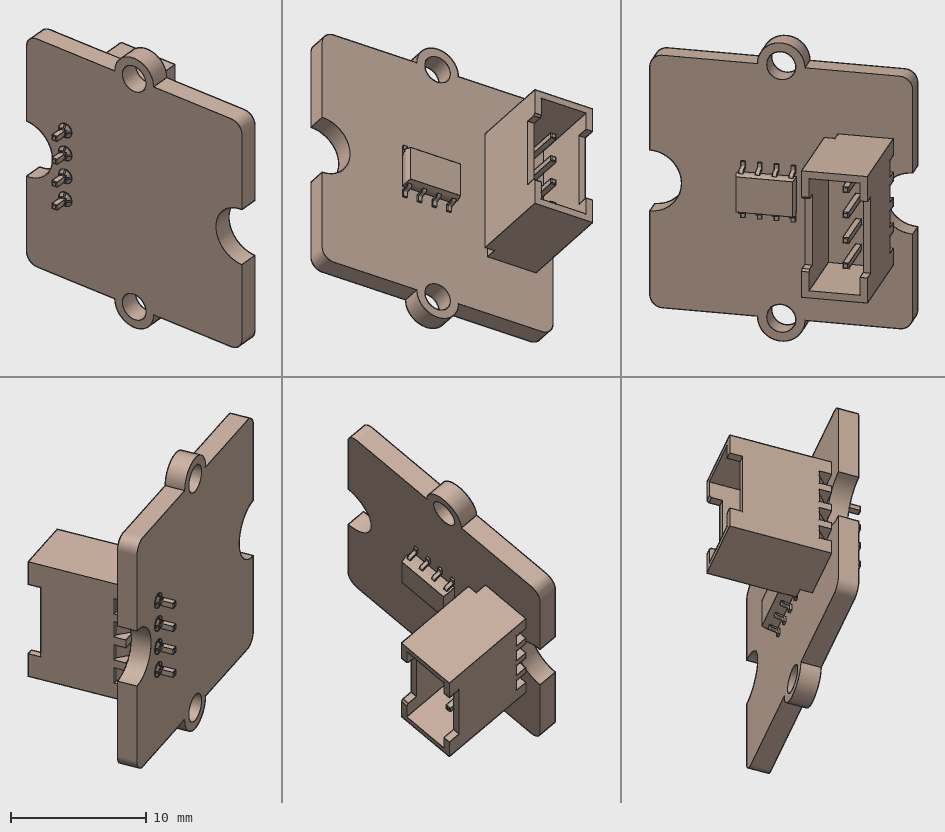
import cadquery as cq
import math


BOARD_SIDE = 20.0
BOARD_THICKNESS = 1.6
BOARD_CORNER_RADIUS = 1.0
OVERALL_HEIGHT = 23.6
TAB_RADIUS = (OVERALL_HEIGHT - BOARD_SIDE) / 2
TAB_HOLE_DIAMETER = 2.2
EDGE_NOTCH_RADIUS = 2.4

HOUSING_WIDTH = 5.0
HOUSING_HEIGHT = 10.0
HOUSING_DEPTH = 8.0
HOUSING_LEFT = -8.52
HOUSING_RIGHT = HOUSING_LEFT + HOUSING_WIDTH
HOUSING_WALL = 0.57
CAVITY_DEPTH = 6.0
KEYWAY_DEPTH = 1.01
OUTER_KEYWAY_WIDTH = 6.05
INNER_KEYWAY_WIDTH = 5.57
INNER_KEYWAY_CHAMFER = 0.17
UNDERCUT_HEIGHT = 0.97
UNDERCUT_LENGTH = 0.8
SLOT_WIDTH = 1.32
SLOT_CEILING_LENGTH = 0.3
SLOT_SLOPE_LENGTH = 0.8
SLIT_HEIGHT = 0.17

PIN_COUNT = 4
PIN_PITCH = 2.0
PIN_X = -6.37
PIN_WIDTH = 0.45
PIN_TAIL = 1.4
PIN_TIP_INSET = 0.07
PIN_TIP_HEIGHT = 0.07
PIN_REACH_IN_CAVITY = 4.01
PIN_SHOULDER_WIDTH = 0.92
PIN_SHOULDER_HEIGHT = 0.1
SOLDER_DIAMETER = 1.2
SOLDER_NECK_DIAMETER = 0.4
SOLDER_RIM = 0.05
SOLDER_HEIGHT = 0.45
SOLDER_RIB_WIDTH = 0.15

CHIP_X = 0.97
CHIP_LENGTH = 4.5
CHIP_WIDTH = 2.97
CHIP_STANDOFF = 0.1
CHIP_BAND_BOTTOM = 0.61
CHIP_BAND_TOP = 0.83
CHIP_TOP = 1.27
CHIP_DRAFT = 12.0
LEADS_PER_SIDE = 4
LEAD_PITCH = 1.27
LEAD_WIDTH = 0.33
LEAD_THICKNESS = 0.17
LEAD_SHOULDER = 1.7
LEAD_HEEL = 1.8
LEAD_TOE = 2.22
LEAD_BEND_RADIUS = 0.28
LEAD_HEEL_RADIUS = 0.1


def block(x_range, y_range, z_range):
    """Axis-aligned box between the given limits."""
    lows, highs = zip(x_range, y_range, z_range)
    sizes = [high - low for low, high in zip(lows, highs)]
    return cq.Workplane("XY").box(*sizes, centered=False).translate(lows)


def along_y(y):
    """Workplane at the given Y whose extrusions go towards +Y; its local x axis is Z and local y is X."""
    return cq.Workplane("ZX", origin=(0, y, 0))


def centred_positions(count, pitch):
    return [(index - (count - 1) / 2) * pitch for index in range(count)]


def make_board():
    half_side = BOARD_SIDE / 2
    tab_centres = [(-half_side, 0), (half_side, 0)]
    notch_centres = [(0, -half_side), (0, half_side)]
    back = -BOARD_THICKNESS
    board = along_y(back).rect(BOARD_SIDE, BOARD_SIDE).extrude(BOARD_THICKNESS)
    board = board.edges("|Y").fillet(BOARD_CORNER_RADIUS)
    tabs = along_y(back).pushPoints(tab_centres).circle(TAB_RADIUS).extrude(BOARD_THICKNESS)
    holes = along_y(back).pushPoints(tab_centres).circle(TAB_HOLE_DIAMETER / 2).extrude(BOARD_THICKNESS)
    notches = along_y(back).pushPoints(notch_centres).circle(EDGE_NOTCH_RADIUS).extrude(BOARD_THICKNESS)
    return board.union(tabs).cut(holes).cut(notches)


def make_keyway(x_range, width):
    """Cutter for the opening in the rim of one housing wall."""
    return block(x_range, (HOUSING_DEPTH - KEYWAY_DEPTH, HOUSING_DEPTH), (-width / 2, width / 2))


def make_inner_keyway():
    """Keyway of the +X wall, with a chamfered mouth."""
    half = INNER_KEYWAY_WIDTH / 2
    mouth = half + INNER_KEYWAY_CHAMFER
    floor = HOUSING_DEPTH - KEYWAY_DEPTH
    chamfer_start = HOUSING_DEPTH - INNER_KEYWAY_CHAMFER
    outline = [
        (floor, -half), (chamfer_start, -half), (HOUSING_DEPTH, -mouth),
        (HOUSING_DEPTH, mouth), (chamfer_start, half), (floor, half),
    ]
    plane = cq.Workplane("YZ", origin=(HOUSING_RIGHT - HOUSING_WALL, 0, 0))
    return plane.polyline(outline).close().extrude(HOUSING_WALL)


def make_slot(z):
    """Cutter under the housing at one pin: a sloped pocket at the -X side, then a low slit to the +X side."""
    ceiling_end = HOUSING_LEFT + SLOT_CEILING_LENGTH
    outline = [
        (HOUSING_LEFT, 0), (HOUSING_LEFT, UNDERCUT_HEIGHT), (ceiling_end, UNDERCUT_HEIGHT),
        (ceiling_end + SLOT_SLOPE_LENGTH, SLIT_HEIGHT), (HOUSING_RIGHT, SLIT_HEIGHT), (HOUSING_RIGHT, 0),
    ]
    profile = cq.Workplane("XY", origin=(0, 0, z - SLOT_WIDTH / 2)).polyline(outline).close()
    return profile.extrude(SLOT_WIDTH)


def make_housing():
    half_height = HOUSING_HEIGHT / 2
    cavity_half = half_height - HOUSING_WALL
    housing = block((HOUSING_LEFT, HOUSING_RIGHT), (0, HOUSING_DEPTH), (-half_height, half_height))
    cavity = block(
        (HOUSING_LEFT + HOUSING_WALL, HOUSING_RIGHT - HOUSING_WALL),
        (HOUSING_DEPTH - CAVITY_DEPTH, HOUSING_DEPTH),
        (-cavity_half, cavity_half),
    )
    undercut = block(
        (HOUSING_RIGHT - UNDERCUT_LENGTH, HOUSING_RIGHT), (0, UNDERCUT_HEIGHT), (-half_height, half_height)
    )
    outer_keyway = make_keyway((HOUSING_LEFT, HOUSING_LEFT + HOUSING_WALL), OUTER_KEYWAY_WIDTH)
    housing = housing.cut(cavity).cut(undercut).cut(outer_keyway).cut(make_inner_keyway())
    for z in centred_positions(PIN_COUNT, PIN_PITCH):
        housing = housing.cut(make_slot(z))
    return housing


def solder_profile(neck_radius):
    """Half section of a solder cone in XY: an upright rim, then a concave arc up to the neck."""
    base_radius = SOLDER_DIAMETER / 2
    arc_fraction = 1 - math.sqrt(0.5)
    arc_middle = (
        neck_radius + arc_fraction * (base_radius - neck_radius),
        SOLDER_RIM + arc_fraction * (SOLDER_HEIGHT - SOLDER_RIM),
    )
    return (
        cq.Workplane("XY")
        .lineTo(base_radius, 0)
        .lineTo(base_radius, SOLDER_RIM)
        .threePointArc(arc_middle, (neck_radius, SOLDER_HEIGHT))
        .lineTo(0, SOLDER_HEIGHT)
        .close()
    )


def make_solder():
    """Concave solder cone around the Y axis, rising from Y = 0, with a narrow rib up each pin face."""
    solder = solder_profile(SOLDER_NECK_DIAMETER / 2).revolve(360, (0, 0, 0), (0, 1, 0))
    rib = solder_profile(PIN_WIDTH / 2).extrude(SOLDER_RIB_WIDTH / 2, both=True)
    for angle in (0, 90, 180, 270):
        solder = solder.union(rib.rotate((0, 0, 0), (0, 1, 0), angle))
    return solder


def make_pin(z):
    """Square pin with tapered tips, shoulders resting on the board, and solder on the board's -Y face."""
    low = -BOARD_THICKNESS - PIN_TAIL
    high = HOUSING_DEPTH - CAVITY_DEPTH + PIN_REACH_IN_CAVITY
    pin = along_y(low).rect(PIN_WIDTH, PIN_WIDTH).extrude(high - low)
    pin = pin.faces("<Y").chamfer(PIN_TIP_HEIGHT, PIN_TIP_INSET)
    pin = pin.faces(">Y").chamfer(PIN_TIP_HEIGHT, PIN_TIP_INSET)
    shoulders = along_y(0).rect(PIN_SHOULDER_WIDTH, PIN_WIDTH).extrude(PIN_SHOULDER_HEIGHT)
    solder = make_solder().mirror("XZ").translate((0, -BOARD_THICKNESS, 0))
    return pin.union(shoulders).union(solder).translate((PIN_X, 0, z))


def make_lead(x):
    """Gull-wing lead on the +Z side of the chip, with its foot on the board."""
    top = CHIP_BAND_TOP
    t = LEAD_THICKNESS
    outline = [
        (top - t, 0), (top, 0), (top, LEAD_SHOULDER), (t, LEAD_HEEL), (t, LEAD_TOE),
        (0, LEAD_TOE), (0, LEAD_HEEL - t), (top - t, LEAD_SHOULDER - t),
    ]
    lead = cq.Workplane("YZ", origin=(x - LEAD_WIDTH / 2, 0, 0)).polyline(outline).close().extrude(LEAD_WIDTH)
    outer_shoulder = cq.selectors.NearestToPointSelector((x, top, LEAD_SHOULDER))
    inner_shoulder = cq.selectors.NearestToPointSelector((x, top - t, LEAD_SHOULDER - t))
    heel = cq.selectors.NearestToPointSelector((x, t, LEAD_HEEL))
    lead = lead.edges(outer_shoulder).fillet(LEAD_BEND_RADIUS)
    lead = lead.edges(inner_shoulder).fillet(LEAD_BEND_RADIUS - t)
    return lead.edges(heel).fillet(LEAD_HEEL_RADIUS)


def make_chip():
    """Moulded chip: straight band at mid height, drafted above and below, leads on both Z sides."""
    def layer(y, height, taper):
        return along_y(y).center(0, CHIP_X).rect(CHIP_WIDTH, CHIP_LENGTH).extrude(height, taper=taper)

    chip = layer(CHIP_BAND_BOTTOM, CHIP_BAND_TOP - CHIP_BAND_BOTTOM, 0)
    chip = chip.union(layer(CHIP_BAND_TOP, CHIP_TOP - CHIP_BAND_TOP, CHIP_DRAFT))
    chip = chip.union(layer(CHIP_BAND_BOTTOM, CHIP_STANDOFF - CHIP_BAND_BOTTOM, CHIP_DRAFT))
    for offset in centred_positions(LEADS_PER_SIDE, LEAD_PITCH):
        lead = make_lead(CHIP_X + offset)
        chip = chip.union(lead).union(lead.mirror("XY"))
    return chip


board = make_board()
housing = make_housing()
chip = make_chip()
pins = [make_pin(z) for z in centred_positions(PIN_COUNT, PIN_PITCH)]

for pin in pins:
    board = board.cut(pin)
    housing = housing.cut(pin)

result = cq.Compound.makeCompound([board.val(), housing.val(), chip.val(), *[pin.val() for pin in pins]])